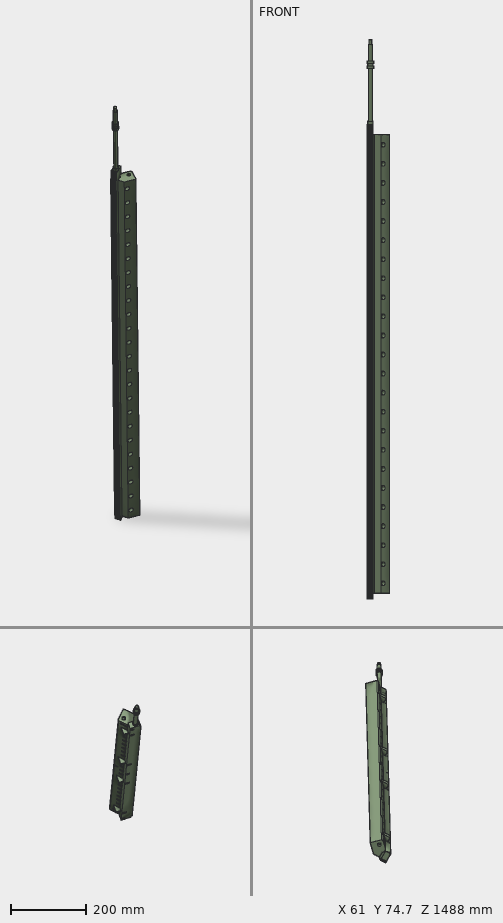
import cadquery as cq
import math

OVERALL_LENGTH = 1488.0
OVERALL_WIDTH = 61.0
LEAN_ANGLE = 1.16
MIDDLE_Z = -119.0

PROFILE_LENGTH = 1220.0
PROFILE_RIGHT = OVERALL_WIDTH / 2
PROFILE_APEX_Y = 25.0
PROFILE_FRONT_Y = -21.0
FOOT_LEFT = -10.0
FOOT_TOP_Y = -6.0
LEFT_SLANT = 21.0
RIGHT_SLANT = 34.0
FRONT_SLANT = -28.0
SHOULDER_Y = -1.0
ROW_COUNT = 24
ROW_END_MARGIN = 27.0
ROW_PITCH = (PROFILE_LENGTH - 2 * ROW_END_MARGIN) / (ROW_COUNT - 1)
ROW_DIAMETER = 12.7
ROW_X = 13.0
END_HOLE_DIAMETER = 9.5
END_HOLE_X = 6.7
END_HOLE_Y = 10.0
END_HOLE_DEPTH = 15.0
SLANT_HOLE_DEPTH = 7.0
SLANT_OUTER_HOLE_DIAMETER = 11.2
SLANT_OUTER_HOLE_Y = 18.0
SLANT_MIDDLE_HOLE_DIAMETER = 8.2
SLANT_MIDDLE_HOLE_Y = 21.0

RAIL_WIDTH = 16.0
RAIL_LEFT = -OVERALL_WIDTH / 2
RAIL_RIGHT = RAIL_LEFT + RAIL_WIDTH
RAIL_BACK_Y = 6.0
RAIL_FRONT_Y = -22.0
RAIL_TOP = 637.0
RAIL_BOTTOM = -622.0
COVER_FRONT_Y = -PROFILE_APEX_Y
LIP_THICKNESS = 5.0
LIP_HEIGHT = 3.0
GROOVE_COUNT = 3
GROOVE_WIDTH = 2.2
GROOVE_DEPTH_IN_RAIL = 1.0

SCREW_ROW_INDICES = (1, 9, 14, 22)
SCREW_HEAD_DIAMETER = 12.7
SCREW_HEAD_Y = -1.0
SCREW_HEAD_DEPTH = 3.0
SCREW_BORE_DIAMETER = 6.4
SCREW_BORE_DEPTH = 9.0
SMALL_HEAD_DIAMETER = 10.0
SMALL_HEAD_Y = 0.0
SMALL_SCREW_SPACING = 609.0

CLIP_LEFT = -22.0
CLIP_BACK_Y = 20.0
CLIP_HEIGHT = 16.0
CLIP_HOLE_DIAMETER = 6.4
CLIP_HOLE_DEPTH = 6.0

ROD_X = -21.0
ROD_Y = -12.0
ROD_TOP = RAIL_BOTTOM - LIP_HEIGHT + OVERALL_LENGTH
ROD_DIAMETER = 11.2
TIP_DIAMETER = 8.2
TIP_LENGTH = 13.0
BASE_DIAMETER = 15.0
BASE_HEIGHT = 9.0
COLLAR_BOTTOM = 786.0
COLLAR_DIAMETER = 18.0
COLLAR_RING_HEIGHT = 7.0
COLLAR_WAIST_DIAMETER = 15.0
COLLAR_WAIST_HEIGHT = 6.0


def row_height(index):
    """Height of one hole of the drilled row."""
    return (index - (ROW_COUNT - 1) / 2) * ROW_PITCH


def box(x_min, x_max, y_min, y_max, z_min, z_max):
    """Block between the given limits."""
    size = (x_max - x_min, y_max - y_min, z_max - z_min)
    return cq.Workplane("XY").box(*size, centered=False).translate((x_min, y_min, z_min))


def cylinder(diameter, depth, start, direction):
    """Cylinder running from a start point along a direction."""
    return cq.Workplane(
        cq.Solid.makeCylinder(diameter / 2, depth, cq.Vector(*start), cq.Vector(*direction))
    )


def leaned(body):
    """Lean an upright body and move it to its final height."""
    return body.rotate((0, 0, 0), (1, 0, 0), LEAN_ANGLE).translate((0, 0, MIDDLE_Z))


def profile_blank():
    outline = [
        (FOOT_LEFT, PROFILE_FRONT_Y),
        (PROFILE_FRONT_Y - FRONT_SLANT, PROFILE_FRONT_Y),
        (PROFILE_RIGHT, PROFILE_RIGHT + FRONT_SLANT),
        (PROFILE_RIGHT, RIGHT_SLANT - PROFILE_RIGHT),
        (RIGHT_SLANT - PROFILE_APEX_Y, PROFILE_APEX_Y),
        (PROFILE_APEX_Y - LEFT_SLANT, PROFILE_APEX_Y),
        (RAIL_RIGHT, RAIL_RIGHT + LEFT_SLANT),
        (RAIL_RIGHT, SHOULDER_Y),
        (FOOT_LEFT, FOOT_TOP_Y),
    ]
    blank = cq.Workplane("XY").polyline(outline).close().extrude(PROFILE_LENGTH)
    return blank.translate((0, 0, -PROFILE_LENGTH / 2))


def drill_row(profile):
    """Row of holes straight through, from the front slant to the left slant."""
    depth = (LEFT_SLANT - FRONT_SLANT) / math.sqrt(2)
    for index in range(ROW_COUNT):
        start = (ROW_X, ROW_X + FRONT_SLANT, row_height(index))
        profile = profile.cut(cylinder(ROW_DIAMETER, depth, start, (-1, 1, 0)))
    return profile


def drill_left_slant(profile):
    """Blind holes in the left slant: one near each end and one in the middle."""
    holes = [
        (SLANT_OUTER_HOLE_DIAMETER, SLANT_OUTER_HOLE_Y, row_height(0)),
        (SLANT_MIDDLE_HOLE_DIAMETER, SLANT_MIDDLE_HOLE_Y, 0),
        (SLANT_OUTER_HOLE_DIAMETER, SLANT_OUTER_HOLE_Y, row_height(ROW_COUNT - 1)),
    ]
    for diameter, y, z in holes:
        start = (y - LEFT_SLANT, y, z)
        profile = profile.cut(cylinder(diameter, SLANT_HOLE_DEPTH, start, (1, -1, 0)))
    return profile


def drill_ends(profile):
    for side in (1, -1):
        start = (END_HOLE_X, END_HOLE_Y, side * PROFILE_LENGTH / 2)
        profile = profile.cut(cylinder(END_HOLE_DIAMETER, END_HOLE_DEPTH, start, (0, 0, -side)))
    return profile


def make_profile():
    return drill_ends(drill_left_slant(drill_row(profile_blank())))


def rail_blank():
    """Bar, cover strip on its front and short lip below its front edge."""
    bar = box(RAIL_LEFT, RAIL_RIGHT, RAIL_FRONT_Y, RAIL_BACK_Y, RAIL_BOTTOM, RAIL_TOP)
    cover = box(
        RAIL_LEFT, RAIL_RIGHT, COVER_FRONT_Y, RAIL_FRONT_Y, -PROFILE_LENGTH / 2, PROFILE_LENGTH / 2
    )
    lip_back = RAIL_FRONT_Y + LIP_THICKNESS
    lip = box(RAIL_LEFT, RAIL_RIGHT, RAIL_FRONT_Y, lip_back, RAIL_BOTTOM - LIP_HEIGHT, RAIL_BOTTOM)
    return bar.union(cover).union(lip)


def cut_grooves(rail):
    """Evenly spaced grooves along the whole front."""
    pitch = (RAIL_RIGHT - RAIL_LEFT) / (GROOVE_COUNT + 1)
    bottom_y = RAIL_FRONT_Y + GROOVE_DEPTH_IN_RAIL
    for index in range(GROOVE_COUNT):
        left = RAIL_LEFT + (index + 1) * pitch - GROOVE_WIDTH / 2
        right = left + GROOVE_WIDTH
        groove = box(left, right, COVER_FRONT_Y, bottom_y, RAIL_BOTTOM - LIP_HEIGHT, RAIL_TOP)
        rail = rail.cut(groove)
    return rail


def cut_screw_hole(rail, head_diameter, y, z):
    """Counterbored hole in the outer side of the rail."""
    start = (RAIL_LEFT, y, z)
    rail = rail.cut(cylinder(head_diameter, SCREW_HEAD_DEPTH, start, (1, 0, 0)))
    return rail.cut(cylinder(SCREW_BORE_DIAMETER, SCREW_BORE_DEPTH, start, (1, 0, 0)))


def cut_screw_holes(rail):
    for index in SCREW_ROW_INDICES:
        rail = cut_screw_hole(rail, SCREW_HEAD_DIAMETER, SCREW_HEAD_Y, row_height(index))
    for step in (-1, 0, 1):
        rail = cut_screw_hole(rail, SMALL_HEAD_DIAMETER, SMALL_HEAD_Y, step * SMALL_SCREW_SPACING)
    return rail


def add_clips(rail):
    """Wedge-shaped clips that rest on the profile's left slant, each with a blind side hole."""
    outline = [
        (CLIP_LEFT, RAIL_BACK_Y),
        (RAIL_RIGHT, RAIL_BACK_Y),
        (RAIL_RIGHT, RAIL_RIGHT + LEFT_SLANT),
        (CLIP_BACK_Y - LEFT_SLANT, CLIP_BACK_Y),
        (CLIP_LEFT, CLIP_BACK_Y),
    ]
    clip = cq.Workplane("XY").polyline(outline).close().extrude(CLIP_HEIGHT)
    hole_start = (CLIP_LEFT, (RAIL_BACK_Y + CLIP_BACK_Y) / 2, CLIP_HEIGHT / 2)
    clip = clip.cut(cylinder(CLIP_HOLE_DIAMETER, CLIP_HOLE_DEPTH, hole_start, (1, 0, 0)))
    for index in SCREW_ROW_INDICES:
        rail = rail.union(clip.translate((0, 0, row_height(index) - CLIP_HEIGHT / 2)))
    return rail


def add_rod(rail):
    """Rod with a base, a waisted collar and a thin tip."""
    tip_bottom = ROD_TOP - TIP_LENGTH
    waist_bottom = COLLAR_BOTTOM + COLLAR_RING_HEIGHT
    waist_top = waist_bottom + COLLAR_WAIST_HEIGHT
    sections = [
        (BASE_DIAMETER, RAIL_TOP, BASE_HEIGHT),
        (ROD_DIAMETER, RAIL_TOP, tip_bottom - RAIL_TOP),
        (COLLAR_DIAMETER, COLLAR_BOTTOM, COLLAR_RING_HEIGHT),
        (COLLAR_WAIST_DIAMETER, waist_bottom, COLLAR_WAIST_HEIGHT),
        (COLLAR_DIAMETER, waist_top, COLLAR_RING_HEIGHT),
        (TIP_DIAMETER, tip_bottom, TIP_LENGTH),
    ]
    for diameter, bottom, height in sections:
        rail = rail.union(cylinder(diameter, height, (ROD_X, ROD_Y, bottom), (0, 0, 1)))
    return rail


def make_rail():
    return add_rod(add_clips(cut_screw_holes(cut_grooves(rail_blank()))))


profile = leaned(make_profile())
rail = leaned(make_rail())

result = cq.Compound.makeCompound([profile.val(), rail.val()])